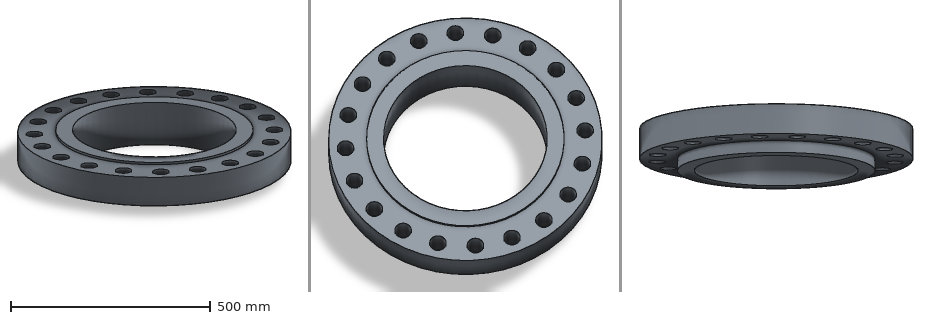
import cadquery as cq

flange_diameter = 686.0
total_height = 112.5
flange_thickness = 76.0
raised_face_height = 6.0
hub_height = total_height - flange_thickness - raised_face_height
hub_diameter = 495.0
raised_face_diameter = hub_diameter
bore_diameter = 410.0

bolt_count = 20
bolt_hole_diameter = 41.0
bolt_circle_diameter = 603.0
first_bolt_angle = 360 / bolt_count / 2


def disc(diameter, height, base_z):
    """Solid disc about the Z axis, standing on base_z."""
    return cq.Workplane("XY").workplane(offset=base_z).circle(diameter / 2).extrude(height)


flange_top = hub_height + flange_thickness
hub = disc(hub_diameter, hub_height, 0)
flange = disc(flange_diameter, flange_thickness, hub_height)
raised_face = disc(raised_face_diameter, raised_face_height, flange_top)
body = hub.union(flange).union(raised_face)

bore = disc(bore_diameter, total_height, 0)

bolt_holes = (
    cq.Workplane("XY")
    .workplane(offset=hub_height)
    .polarArray(bolt_circle_diameter / 2, first_bolt_angle, 360, bolt_count)
    .circle(bolt_hole_diameter / 2)
    .extrude(flange_thickness)
)

result = body.cut(bore).cut(bolt_holes)